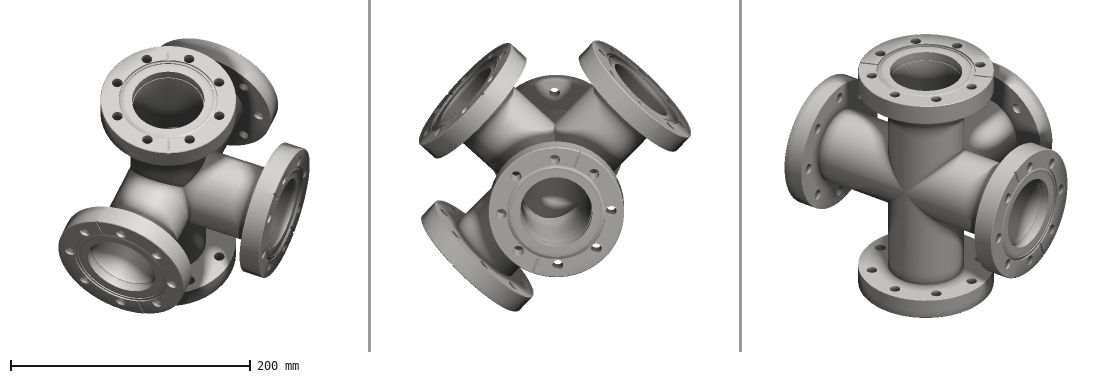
import cadquery as cq

face_distance = 104.8

tube_outer_diameter = 63.5
tube_wall = 2.0
tube_bore_diameter = tube_outer_diameter - 2 * tube_wall

flange_diameter = 113.5
flange_thickness = 17.3
flange_bore_diameter = 60.5
rim_chamfer = 0.5
socket_shoulder_depth = 9.5

bolt_count = 8
bolt_circle_diameter = 92.1
bolt_hole_diameter = 8.8

recess_diameter = 82.5
recess_depth = 1.4
knife_edge_diameter = 77.2
knife_edge_depth = 0.5
inner_land_depth = recess_depth

groove_width = 2.0
groove_depth = 0.9
bolt_spacing_angle = 360 / bolt_count
first_groove_angle = 90 + bolt_spacing_angle / 2
groove_angles = (first_groove_angle, first_groove_angle + 180)

ports = [
    ((0, -1, 0), (1, 0, 0)),
    ((0, 1, 0), (1, 0, 0)),
    ((0, 0, 1), (1, 0, 0)),
    ((0, 0, -1), (1, 0, 0)),
    ((1, 0, 0), (0, 1, 0)),
]

tube_length = face_distance - socket_shoulder_depth


def branched_cylinder(diameter):
    """Solid cylinders running from the centre out along every port, joined together."""
    shape = cq.Workplane("XY")
    for normal, x_direction in ports:
        plane = cq.Plane(origin=(0, 0, 0), xDir=x_direction, normal=normal)
        branch = cq.Workplane(plane).circle(diameter / 2).extrude(tube_length)
        shape = shape.add(branch)
    return shape.combine()


def make_tube_body():
    return branched_cylinder(tube_outer_diameter).cut(branched_cylinder(tube_bore_diameter))


def flange_blank():
    """Revolved flange ring: sealing face at z = 0, back face on the negative side."""
    profile = [
        (flange_bore_diameter / 2, -inner_land_depth),
        (knife_edge_diameter / 2, -inner_land_depth),
        (knife_edge_diameter / 2, -knife_edge_depth),
        (recess_diameter / 2, -recess_depth),
        (recess_diameter / 2, 0),
        (flange_diameter / 2 - rim_chamfer, 0),
        (flange_diameter / 2, -rim_chamfer),
        (flange_diameter / 2, -flange_thickness),
        (tube_outer_diameter / 2, -flange_thickness),
        (tube_outer_diameter / 2, -socket_shoulder_depth),
        (flange_bore_diameter / 2, -socket_shoulder_depth),
    ]
    return cq.Workplane("XZ").polyline(profile).close().revolve(360, (0, 0, 0), (0, 1, 0))


def bolt_holes():
    return (
        cq.Workplane("XY")
        .polarArray(bolt_circle_diameter / 2, 0, 360, bolt_count)
        .circle(bolt_hole_diameter / 2)
        .extrude(-flange_thickness)
    )


def leak_groove(angle):
    """Straight radial cutter starting at mid-width of the recess and ending at the rim."""
    start_radius = (knife_edge_diameter + recess_diameter) / 4
    length = flange_diameter / 2 - start_radius
    return (
        cq.Workplane("XY")
        .box(length, groove_width, groove_depth, centered=(False, True, False))
        .translate((start_radius, 0, -groove_depth))
        .rotate((0, 0, 0), (0, 0, 1), angle)
    )


def make_flange():
    flange = flange_blank().cut(bolt_holes())
    for angle in groove_angles:
        flange = flange.cut(leak_groove(angle))
    return flange


def place_on_port(flange, normal, x_direction):
    origin = tuple(face_distance * component for component in normal)
    plane = cq.Plane(origin=origin, xDir=x_direction, normal=normal)
    return flange.moved(cq.Location(plane))


tube_body = make_tube_body().solids().val()
single_flange = make_flange().solids().val()
flanges = [place_on_port(single_flange, normal, x_direction) for normal, x_direction in ports]

result = cq.Compound.makeCompound([tube_body, *flanges])